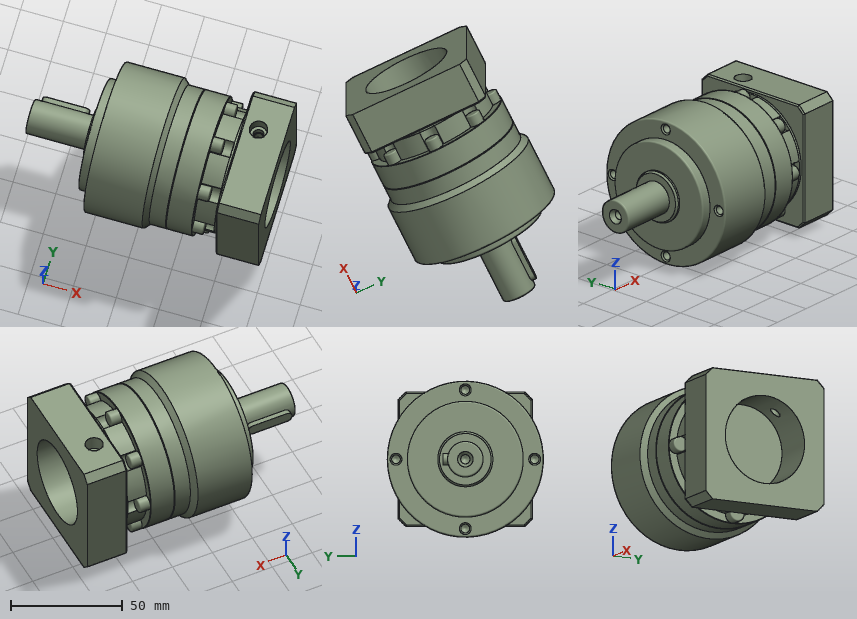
import cadquery as cq
import math


collar_x = 28.1
pilot_x = 30.0
housing_x = 35.0
taper_start_x = 62.5
seam_x = 72.9
screw_seat_x = 84.9
neck_end_x = 94.2
plate_x = 95.4
rear_x = 115.5

shaft_radius = 8.0
shaft_end_fillet = 0.8
collar_radius = 12.4
collar_bevel_radial = 0.8
collar_bevel_axial = 1.0

key_start_x = 2.9
key_end_x = 25.0
key_width = 5.1
key_height = 5.1
key_top_y = 9.9

drill_point_angle = 118.0
center_hole_radius = 2.1
center_sink_radius = 3.5
center_sink_angle = 60.0
center_hole_depth = 11.5
mount_hole_radius = 2.0
mount_sink_radius = 2.7
mount_sink_angle = 90.0
mount_hole_depth = 9.2
mount_circle_radius = 31.1
mount_hole_count = 4

housing_radius = 35.0
pilot_radius = 26.0
barrel_radius = 32.5
front_fillet = 0.8
seam_chamfer = 0.2

neck_radius = 28.5
screw_count = 8
screw_circle_radius = 28.9
screw_head_radius = 3.5
screw_head_length = 5.1
screw_head_fillet = 0.6
pocket_radius = 3.8

plate_size = 60.3
plate_corner_chamfer = 3.5
plate_front_chamfer = 0.7
motor_bore_radius = 20.2
access_x = 103.0
access_y = 12.0
access_steps = [(4.0, 6.9), (2.5, 10.4)]
access_through_radius = 2.1


def cylinder(radius, start_x, end_x, y=0.0, z=0.0):
    """Cylinder parallel to X between two stations."""
    return (
        cq.Workplane("YZ", origin=(start_x, y, z))
        .circle(radius)
        .extrude(end_x - start_x)
    )


def revolve_profile(points):
    """Solid of revolution about X from (x, radius) points."""
    return cq.Workplane("XY").polyline(points).close().revolve(360, (0, 0, 0), (1, 0, 0))


def around_axis(count, radius):
    """Evenly spaced (y, z) places on a circle about the X axis, the first on +Y."""
    angles = [2 * math.pi * i / count for i in range(count)]
    return [(radius * math.cos(a), radius * math.sin(a)) for a in angles]


def countersunk_hole(face_x, radius, depth, sink_radius, sink_angle):
    """Cutter for a blind drilled hole on the X axis with a countersunk mouth."""
    sink_depth = (sink_radius - radius) / math.tan(math.radians(sink_angle / 2))
    point_depth = radius / math.tan(math.radians(drill_point_angle / 2))
    return revolve_profile([
        (face_x, 0),
        (face_x, sink_radius),
        (face_x + sink_depth, radius),
        (face_x + depth, radius),
        (face_x + depth + point_depth, 0),
    ])


def make_key():
    """Round-ended feather key on the +Y side of the shaft."""
    length = key_end_x - key_start_x
    return (
        cq.Workplane("XZ", origin=((key_start_x + key_end_x) / 2, key_top_y, 0))
        .slot2D(length, key_width)
        .extrude(key_height)
    )


def make_shaft(key):
    """Shaft with collar, keyway and threaded center hole."""
    journal = cylinder(shaft_radius, 0, pilot_x).faces("<X").edges().fillet(shaft_end_fillet)
    collar = revolve_profile([
        (collar_x, 0),
        (collar_x, collar_radius - collar_bevel_radial),
        (collar_x + collar_bevel_axial, collar_radius),
        (pilot_x, collar_radius),
        (pilot_x, 0),
    ])
    center_hole = countersunk_hole(
        0, center_hole_radius, center_hole_depth, center_sink_radius, center_sink_angle
    )
    return journal.union(collar).cut(center_hole).cut(key)


def make_housing():
    """Stepped housing with front pilot, mounting holes and tapered shoulder."""
    pilot = cylinder(pilot_radius, pilot_x, housing_x).faces("<X").edges().fillet(front_fillet)
    taper_end_x = taper_start_x + housing_radius - barrel_radius
    body = revolve_profile([
        (housing_x, 0),
        (housing_x, housing_radius),
        (taper_start_x, housing_radius),
        (taper_end_x, barrel_radius),
        (seam_x, barrel_radius),
        (seam_x, 0),
    ])
    body = body.faces("<X").edges().fillet(front_fillet)
    body = body.faces(">X").edges().chamfer(seam_chamfer)
    housing = body.union(pilot)
    mount_hole = countersunk_hole(
        housing_x, mount_hole_radius, mount_hole_depth, mount_sink_radius, mount_sink_angle
    )
    for y, z in around_axis(mount_hole_count, mount_circle_radius):
        housing = housing.cut(mount_hole.translate((0, y, z)))
    return housing


def make_input_flange():
    """Flange with a scalloped neck and a ring of screw heads seated in the scallops."""
    flange = cylinder(barrel_radius, seam_x, screw_seat_x).edges().chamfer(seam_chamfer)
    flange = flange.union(cylinder(neck_radius, screw_seat_x, neck_end_x))
    head_end_x = screw_seat_x + screw_head_length
    for y, z in around_axis(screw_count, screw_circle_radius):
        flange = flange.cut(cylinder(pocket_radius, screw_seat_x, neck_end_x, y, z))
        head = cylinder(screw_head_radius, screw_seat_x, head_end_x, y, z)
        flange = flange.union(head.faces(">X").edges().fillet(screw_head_fillet))
    return flange


def make_motor_plate():
    """Square motor plate with a locating disc, motor bore and stepped access hole."""
    plate = (
        cq.Workplane("YZ", origin=(plate_x, 0, 0))
        .rect(plate_size, plate_size)
        .extrude(rear_x - plate_x)
        .edges("|X")
        .chamfer(plate_corner_chamfer)
        .faces("<X")
        .edges()
        .chamfer(plate_front_chamfer)
    )
    plate = plate.union(cylinder(neck_radius, neck_end_x, plate_x))
    plate = plate.cut(cylinder(motor_bore_radius, neck_end_x, rear_x))
    top_z = plate_size / 2
    access = cq.Workplane("XY", origin=(access_x, access_y, top_z))
    for radius, depth in access_steps + [(access_through_radius, top_z)]:
        plate = plate.cut(access.circle(radius).extrude(-depth))
    return plate


key = make_key()
shaft = make_shaft(key)
housing = make_housing()
input_flange = make_input_flange()
motor_plate = make_motor_plate()

result = cq.Compound.makeCompound([
    shaft.val(),
    key.val(),
    housing.val(),
    input_flange.val(),
    motor_plate.val(),
])